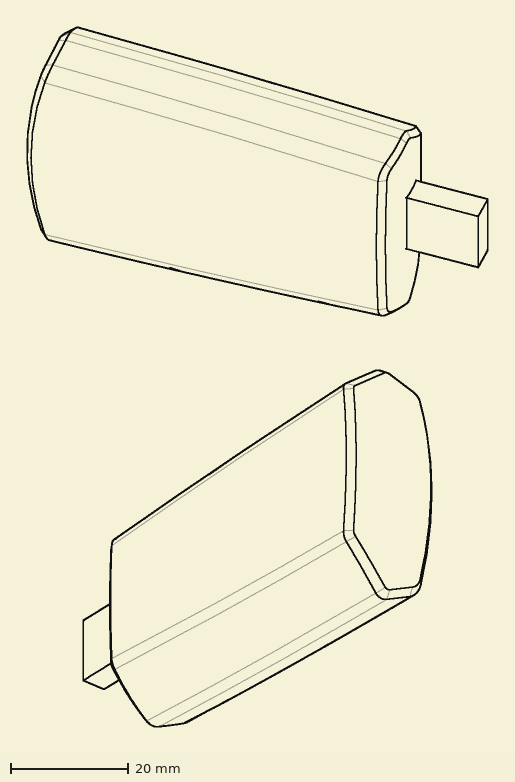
import cadquery as cq
import math

total_length = 80.1
housing_length = 67.15
housing_thickness = 19.0
half_thickness = housing_thickness / 2

back_bow_radius = 169.1
front_bow_radius = 289.3
blank_half_height = 24.0

crest_y = -1.1
crest_height = 23.0
crest_station = 4.8
taper_radius = 1382.25
taper_center_x = -24.85
back_facet_slope = 0.8
front_facet_slope = 0.435

crest_fillet = 2.4
back_fillet = 2.4
front_fillet = 3.2
domed_end_chamfer = 1.2
connector_end_chamfer = 1.0

domed_end_radius = 70.5
connector_end_radius = 24.85

plug_thickness = 4.65
plug_height = 11.9
plug_y = 0.2
socket_depth = 0.8

margin = 8.0


def bow_sagitta(radius, half_chord):
    """Depth of an arc of the given radius over a chord."""
    return radius - math.sqrt(radius**2 - half_chord**2)


def bowed_blank():
    """Block along X whose two broad faces bulge outward."""
    back_edge_y = half_thickness - bow_sagitta(back_bow_radius, blank_half_height)
    front_edge_y = -half_thickness + bow_sagitta(front_bow_radius, blank_half_height)
    return (
        cq.Workplane("YZ", origin=(-margin, 0, 0))
        .moveTo(front_edge_y, -blank_half_height)
        .threePointArc((-half_thickness, 0), (front_edge_y, blank_half_height))
        .lineTo(back_edge_y, blank_half_height)
        .threePointArc((half_thickness, 0), (back_edge_y, -blank_half_height))
        .close()
        .extrude(housing_length + 2 * margin)
    )


def upper_envelope():
    """Ridge profile revolved along the taper arc, open far below the housing."""
    station_offset = crest_station - taper_center_x
    center_z = crest_height - math.sqrt(taper_radius**2 - station_offset**2)
    crest_z = center_z + taper_radius
    floor_z = -blank_half_height - margin
    back_y = half_thickness + margin
    front_y = -half_thickness - margin
    back_z = crest_z - back_facet_slope * (back_y - crest_y)
    front_z = crest_z - front_facet_slope * (crest_y - front_y)
    sweep_angle = math.degrees(2 * (housing_length + margin - taper_center_x) / taper_radius)
    return (
        cq.Workplane("YZ", origin=(taper_center_x, 0, 0))
        .moveTo(front_y, floor_z)
        .lineTo(front_y, front_z)
        .lineTo(crest_y, crest_z)
        .lineTo(back_y, back_z)
        .lineTo(back_y, floor_z)
        .close()
        .revolve(sweep_angle, (0, center_z, 0), (1, center_z, 0))
    )


def domed_end_envelope():
    """Cylinder about Y that rounds the -X end."""
    return (
        cq.Workplane("XZ", origin=(domed_end_radius, 0, 0))
        .circle(domed_end_radius)
        .extrude(half_thickness + margin, both=True)
    )


def connector_end_envelope():
    """Bar along X whose +X end is an arc about Z."""
    half_width = half_thickness + margin
    edge_x = housing_length - bow_sagitta(connector_end_radius, half_width)
    return (
        cq.Workplane("XY")
        .moveTo(-margin, -half_width)
        .lineTo(edge_x, -half_width)
        .threePointArc((housing_length, 0), (edge_x, half_width))
        .lineTo(-margin, half_width)
        .close()
        .extrude(blank_half_height + margin, both=True)
    )


def fillet_long_edges(body):
    """Round the crests and the borders of the two broad faces."""
    middle_x = housing_length / 2
    for side in (-1, 1):
        for edge_y, radius in (
            (crest_y, crest_fillet),
            (half_thickness, back_fillet),
            (-half_thickness, front_fillet),
        ):
            near_edge = (middle_x, edge_y, side * crest_height)
            body = body.edges(cq.selectors.NearestToPointSelector(near_edge)).fillet(radius)
    return body


def plug_block():
    """Rectangular plug, seated in the connector end."""
    start_x = housing_length - socket_depth
    return cq.Workplane("XY").box(
        total_length - start_x, plug_thickness, plug_height, centered=(False, True, True)
    ).translate((start_x, plug_y, 0))


def housing_body():
    upper = upper_envelope()
    lower = upper.mirror("XY")
    body = bowed_blank().intersect(upper).intersect(lower)
    body = fillet_long_edges(body)
    body = body.intersect(domed_end_envelope()).intersect(connector_end_envelope())
    body = body.faces("<X").chamfer(domed_end_chamfer)
    body = body.faces(">X").chamfer(connector_end_chamfer)
    return body.cut(plug_block())


housing = housing_body()
plug = plug_block()

result = cq.Compound.makeCompound([housing.val(), plug.val()])